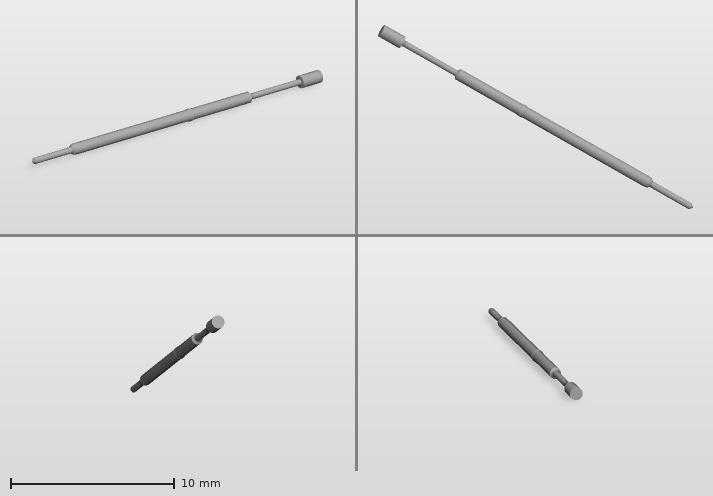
import cadquery as cq

total_length = 22.3
tip_length = 0.2
needle_end = 3.0
barrel_start = 3.33
ring_start = 12.0
ring_width = 0.4
barrel_end = 16.82
lead_in_length = 0.1
head_length = 1.5

head_radius = 0.4
ring_radius = 0.4
barrel_radius = 0.355
needle_radius = 0.2
plunger_radius = 0.19


def make_half_section():
    """Half section of the pin in the YZ plane: (station along Y, radius)."""
    head_start = total_length - head_length
    ring_end = ring_start + ring_width
    ring_middle = ring_start + ring_width / 2
    return (
        cq.Workplane("YZ")
        .moveTo(total_length, 0)
        .lineTo(total_length, head_radius)
        .lineTo(head_start, head_radius)
        .lineTo(head_start, plunger_radius)
        .lineTo(barrel_end + lead_in_length, plunger_radius)
        .lineTo(barrel_end, barrel_radius)
        .lineTo(ring_end, barrel_radius)
        .threePointArc((ring_middle, ring_radius), (ring_start, barrel_radius))
        .lineTo(barrel_start, barrel_radius)
        .tangentArcPoint((needle_end, needle_radius), relative=False)
        .lineTo(tip_length, needle_radius)
        .lineTo(0, 0)
        .close()
    )


result = make_half_section().revolve(360, (0, 0, 0), (1, 0, 0))